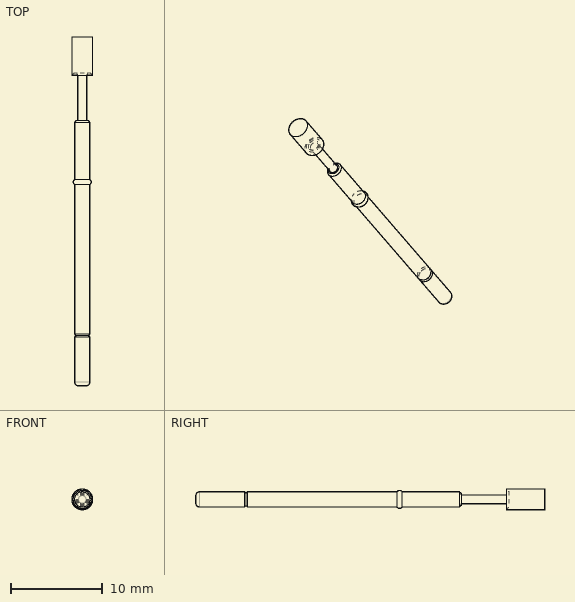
import cadquery as cq
import math

length = 38.1
front_end = -length / 2
back_end = length / 2

head_radius = 1.15
head_length = 4.2

recess_depth = 0.25
recess_inner_slope = 0.1
recess_outer_slope = 0.3

stem_radius = 0.5
stem_length = 4.9

barrel_radius = 0.85
mouth_radius = 0.65
mouth_taper_length = 0.23
tip_fillet = 0.42

ring_radius = 1.0
ring_width = 0.57
ring_to_back_end = 15.85

groove_depth = 0.135
groove_width = 0.35
groove_to_back_end = 32.6

head_start = back_end - head_length
recess_floor = head_start + recess_depth
mouth = head_start - stem_length
ring_centre = back_end - ring_to_back_end
groove_centre = back_end - groove_to_back_end


def add_rounded_tip(profile):
    """Flat end and quarter-round edge, from the axis out to the barrel."""
    mid_inset = tip_fillet * (1 - math.cos(math.pi / 4))
    return (
        profile.lineTo(barrel_radius - tip_fillet, front_end)
        .threePointArc(
            (barrel_radius - mid_inset, front_end + mid_inset),
            (barrel_radius, front_end + tip_fillet),
        )
    )


def add_crimp_groove(profile):
    """V groove in the barrel surface."""
    return (
        profile.lineTo(barrel_radius, groove_centre - groove_width / 2)
        .lineTo(barrel_radius - groove_depth, groove_centre)
        .lineTo(barrel_radius, groove_centre + groove_width / 2)
    )


def add_press_ring(profile):
    """Rounded bead standing out of the barrel surface."""
    return (
        profile.lineTo(barrel_radius, ring_centre - ring_width / 2)
        .threePointArc(
            (ring_radius, ring_centre),
            (barrel_radius, ring_centre + ring_width / 2),
        )
    )


def add_mouth_and_stem(profile):
    """Tapered barrel mouth, then the stem up to the head."""
    return (
        profile.lineTo(barrel_radius, mouth - mouth_taper_length)
        .lineTo(mouth_radius, mouth)
        .lineTo(stem_radius, mouth)
        .lineTo(stem_radius, head_start)
    )


def add_head(profile):
    """Recessed underside, side and flat end of the head, back to the axis."""
    return (
        profile.lineTo(stem_radius + recess_inner_slope, recess_floor)
        .lineTo(head_radius - recess_outer_slope, recess_floor)
        .lineTo(head_radius, head_start)
        .lineTo(head_radius, back_end)
        .lineTo(0, back_end)
    )


half_profile = cq.Workplane("XY").moveTo(0, front_end)
half_profile = add_rounded_tip(half_profile)
half_profile = add_crimp_groove(half_profile)
half_profile = add_press_ring(half_profile)
half_profile = add_mouth_and_stem(half_profile)
half_profile = add_head(half_profile)

result = half_profile.close().revolve(360, (0, 0, 0), (0, 1, 0))